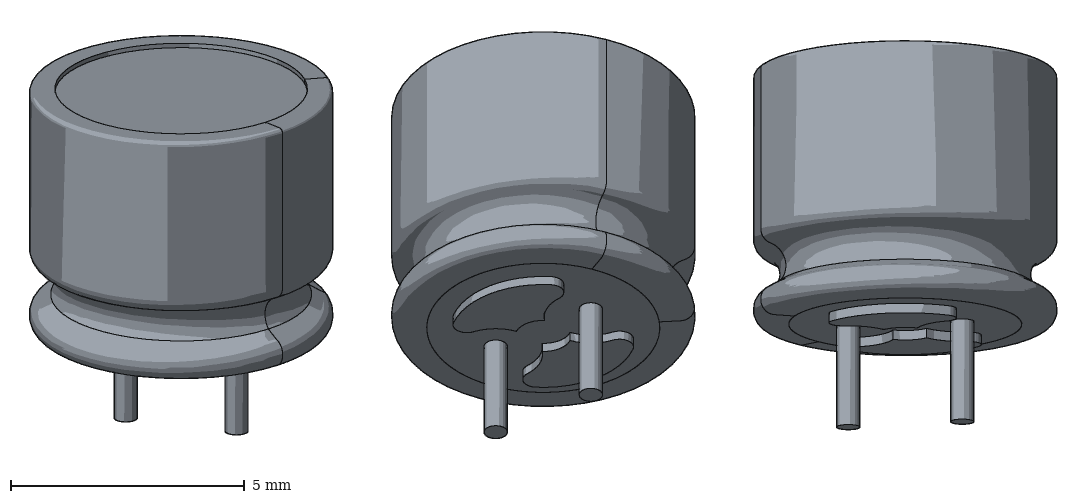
import cadquery as cq
import math

sleeve_radius = 3.25
sleeve_height = 5.5
pin_length = 2.2

rim_rounding = 0.1
bead_rounding = 0.3
bead_band_height = 0.04
groove_radius = 0.5
groove_height = 1.09
neck_radius = 2.69
cone_top_radius = 2.795
cone_bottom_radius = 3.05
seal_radius = 2.495
shoulder_radius = sleeve_radius - bead_rounding

bead_band_top = bead_rounding + bead_band_height
bead_top = bead_band_top + math.sqrt(bead_rounding**2 - (cone_bottom_radius - shoulder_radius) ** 2)

groove_center = neck_radius + groove_radius
center_distance = groove_radius + bead_rounding
barrel_bottom = groove_height + math.sqrt(center_distance**2 - (groove_center - shoulder_radius) ** 2)
tangent_share = bead_rounding / center_distance
groove_top_radius = shoulder_radius + tangent_share * (groove_center - shoulder_radius)
groove_top = barrel_bottom - tangent_share * (barrel_bottom - groove_height)
cone_top = groove_height - math.sqrt(groove_radius**2 - (groove_center - cone_top_radius) ** 2)

can_radius = 2.7
can_recess = 0.1

stripe_angle = 60

pin_radius = 0.25
pin_offset = 1.25

foot_height = 0.21
foot_outer_radius = 1.99
foot_inner_radius = 0.6
foot_pin_clearance = 1
foot_corner_radius = 0.3


def diagonal(rounding):
    """Sideways reach of a quarter arc at its middle."""
    return rounding * math.sqrt(0.5)


def sleeve_sector(start_angle, sweep):
    """Sector of the sleeve wall, revolved about Z from start_angle."""
    rim_center = sleeve_radius - rim_rounding
    rim_bottom = sleeve_height - rim_rounding
    bead_reach = diagonal(bead_rounding)
    rim_reach = diagonal(rim_rounding)
    return (
        cq.Workplane("XZ")
        .moveTo(seal_radius, 0)
        .lineTo(shoulder_radius, 0)
        .threePointArc(
            (shoulder_radius + bead_reach, bead_rounding - bead_reach),
            (sleeve_radius, bead_rounding),
        )
        .lineTo(sleeve_radius, bead_band_top)
        .threePointArc(
            (shoulder_radius + bead_reach, bead_band_top + bead_reach),
            (cone_bottom_radius, bead_top),
        )
        .lineTo(cone_top_radius, cone_top)
        .threePointArc((neck_radius, groove_height), (groove_top_radius, groove_top))
        .threePointArc(
            (shoulder_radius + bead_reach, barrel_bottom - bead_reach),
            (sleeve_radius, barrel_bottom),
        )
        .lineTo(sleeve_radius, rim_bottom)
        .threePointArc(
            (rim_center + rim_reach, rim_bottom + rim_reach),
            (rim_center, sleeve_height),
        )
        .lineTo(can_radius, sleeve_height)
        .lineTo(can_radius, groove_top)
        .lineTo(seal_radius, groove_top)
        .close()
        .revolve(sweep, (0, 0, 0), (0, 1, 0))
        .rotate((0, 0, 0), (0, 0, 1), start_angle)
    )


def make_can():
    """Plain cylinder above the neck, its top set below the sleeve rim."""
    can_height = sleeve_height - can_recess - groove_top
    return cq.Workplane("XY").workplane(offset=groove_top).circle(can_radius).extrude(can_height)


def make_feet():
    """Two curved feet left of a ring by round clearances about the pins."""
    ring = cq.Workplane("XY").circle(foot_outer_radius).circle(foot_inner_radius).extrude(-foot_height)
    clearances = (
        cq.Workplane("XY")
        .pushPoints([(-pin_offset, 0), (pin_offset, 0)])
        .circle(foot_pin_clearance)
        .extrude(-foot_height)
    )
    rear_corners = cq.selectors.BoxSelector(
        (-foot_outer_radius, foot_inner_radius, -foot_height),
        (foot_outer_radius, foot_outer_radius, 0),
    )
    front_corners = cq.selectors.BoxSelector(
        (-foot_outer_radius, -foot_outer_radius, -foot_height),
        (foot_outer_radius, -foot_inner_radius, 0),
    )
    feet = ring.cut(clearances)
    return feet.edges("|Z").edges(rear_corners + front_corners).fillet(foot_corner_radius)


def make_seal():
    """Plug that closes the sleeve below the can, with its feet."""
    plug = cq.Workplane("XY").circle(seal_radius).extrude(groove_top)
    return plug.union(make_feet())


def make_pin(x):
    """Straight round pin hanging from the underside of the seal."""
    return cq.Workplane("XY").center(x, 0).circle(pin_radius).extrude(-pin_length)


sleeve = sleeve_sector(stripe_angle / 2, 360 - stripe_angle)
stripe = sleeve_sector(-stripe_angle / 2, stripe_angle)
can = make_can()
seal = make_seal()
pins = [make_pin(side * pin_offset) for side in (-1, 1)]

result = cq.Compound.makeCompound(
    [sleeve.val(), stripe.val(), can.val(), seal.val(), *[pin.val() for pin in pins]]
)